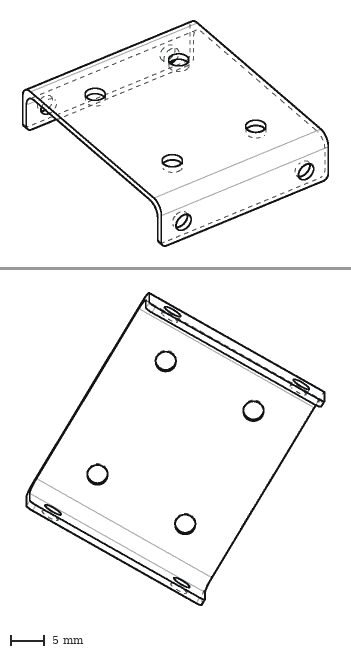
import cadquery as cq

width = 36.0
length = 30.0
height = 8.0
sheet_thickness = 1.0
bend_radius = 2.0
flange_corner_radius = 1.0

web_hole_diameter = 3.0
web_hole_pitch_x = 20.0
web_hole_pitch_y = 15.0

flange_hole_diameter = 2.7
flange_hole_pitch = 22.0
flange_hole_height = 3.0


def bent_block(block_width, block_height):
    """Block standing on Z = 0 with its two long upper edges rounded."""
    block = cq.Workplane("XY").box(block_width, length, block_height, centered=(True, True, False))
    return block.edges("|Y and >Z").fillet(bend_radius)


def channel():
    """Bent sheet: the outer block less the space between the flanges."""
    outer = bent_block(width, height)
    inner = bent_block(width - 2 * sheet_thickness, height - sheet_thickness)
    return outer.cut(inner)


def round_flange_corners(body):
    """Round the lower corners of both flanges."""
    end_edges = body.faces("<Z").edges("<Y or >Y")
    return end_edges.fillet(flange_corner_radius)


def web_holes():
    """Vertical cutters for the four holes in the web."""
    return (
        cq.Workplane("XY")
        .rarray(web_hole_pitch_x, web_hole_pitch_y, 2, 2)
        .circle(web_hole_diameter / 2)
        .extrude(height)
    )


def flange_holes():
    """Cutters along X that pass through both flanges."""
    half_pitch = flange_hole_pitch / 2
    return (
        cq.Workplane("YZ")
        .pushPoints([(-half_pitch, flange_hole_height), (half_pitch, flange_hole_height)])
        .circle(flange_hole_diameter / 2)
        .extrude(width / 2, both=True)
    )


bracket = round_flange_corners(channel())
result = bracket.cut(web_holes()).cut(flange_holes())